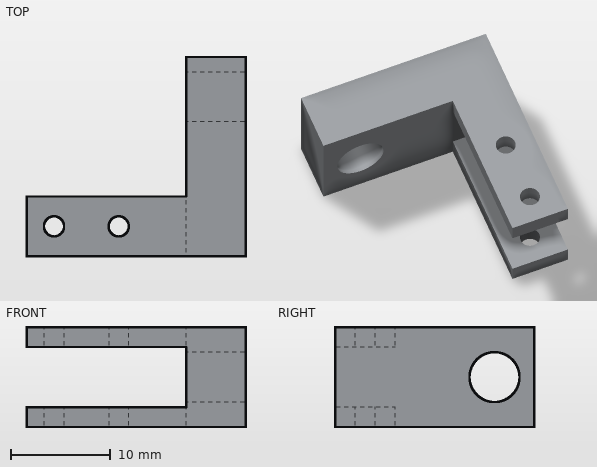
import cadquery as cq

length = 22.0
depth = 20.0
height = 10.0

block_width = 6.0
arm_width = 6.0
prong_thickness = 2.0
prong_length = length - block_width
slot_height = height - 2 * prong_thickness

pin_diameter = 2.0
first_pin_x = 2.75
pin_spacing = 6.5
bore_diameter = 5.0
bore_end_distance = 4.0


def l_body():
    """L-shaped body with its outer corner on the +X, -Y side."""
    block = cq.Workplane("XY").box(block_width, depth, height, centered=False)
    arm = cq.Workplane("XY").box(length, arm_width, height, centered=False)
    return arm.union(block.translate((prong_length, 0, 0)))


def fork_slot():
    """Gap that splits the arm into two prongs."""
    slot = cq.Workplane("XY").box(prong_length, arm_width, slot_height, centered=False)
    return slot.translate((0, 0, prong_thickness))


def pin_holes():
    """Vertical holes through both prongs."""
    centers = [(first_pin_x + i * pin_spacing, arm_width / 2) for i in range(2)]
    return cq.Workplane("XY").pushPoints(centers).circle(pin_diameter / 2).extrude(height)


def block_bore():
    """Bore along X through the free end of the block."""
    return (
        cq.Workplane("YZ", origin=(prong_length, 0, 0))
        .center(depth - bore_end_distance, height / 2)
        .circle(bore_diameter / 2)
        .extrude(block_width)
    )


result = l_body().cut(fork_slot()).cut(pin_holes()).cut(block_bore())